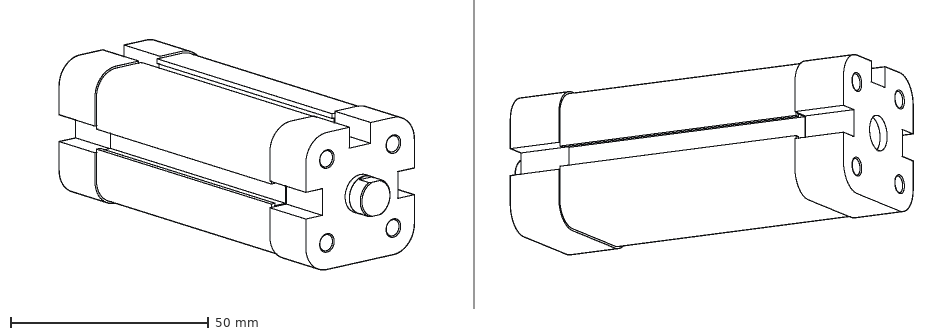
import cadquery as cq

total_length = 103.0
cap_length = 14.1
cap_end = 96.8
tube_start = cap_length
tube_end = cap_end - cap_length

cap_width = 36.0
tube_width = 35.0
hole_offset = 11.0
cap_corner_radius = cap_width / 2 - hole_offset
tube_corner_radius = tube_width / 2 - hole_offset

hole_diameter = 4.2
hole_chamfer = 0.3

cap_slot_width = 7.0
cap_slot_floor = 12.6
tube_slot_width = 6.5
tube_slot_floor = 12.9
slot_mouth_width = 5.3
lip_thickness = 1.2
slot_angles = (-90, 0, 90)

recess_diameter = 9.1
recess_depth = 2.1

rod_diameter = 10.0
rod_chamfer = 0.3
collar_end = 98.5
rod_tip_diameter = 9.9
flat_distance = 9.0
flat_start = 99.1


def bar(start, end, width, corner_radius):
    """Rounded square bar along X."""
    return (
        cq.Workplane("YZ", origin=(start, 0, 0))
        .rect(width, width)
        .extrude(end - start)
        .edges("|X")
        .fillet(corner_radius)
    )


def rod_section(start, end, diameter):
    """Cylinder on the X axis."""
    return cq.Workplane("YZ", origin=(start, 0, 0)).circle(diameter / 2).extrude(end - start)


def slot_box(start, end, width, floor, top):
    """Box that clears a slot on the top side."""
    return (
        cq.Workplane("XY", origin=(start, 0, floor))
        .box(end - start, width, top - floor, centered=(False, True, False))
    )


def cut_slots(body, cutter):
    """Repeat a top-side slot cutter on the three slotted sides."""
    for angle in slot_angles:
        body = body.cut(cutter.rotate((0, 0, 0), (1, 0, 0), angle))
    return body


def cut_bolt_holes(body, start, end):
    """Four through holes on the corner centres."""
    holes = (
        cq.Workplane("YZ", origin=(start, 0, 0))
        .rect(2 * hole_offset, 2 * hole_offset, forConstruction=True)
        .vertices()
        .circle(hole_diameter / 2)
        .extrude(end - start)
    )
    return body.cut(holes)


def make_cap(start, outer_face):
    """End cap with slots and bolt holes chamfered at the outer face."""
    end = start + cap_length
    cap = bar(start, end, cap_width, cap_corner_radius)
    cap = cut_slots(cap, slot_box(start, end, cap_slot_width, cap_slot_floor, cap_width / 2))
    cap = cut_bolt_holes(cap, start, end)
    hole_rims = cap.faces(outer_face).edges("%CIRCLE").edges(cq.selectors.RadiusNthSelector(0))
    return hole_rims.chamfer(hole_chamfer)


def make_rear_cap():
    """Cap at the X origin with a blind centring recess."""
    return make_cap(0, "<X").cut(rod_section(0, recess_depth, recess_diameter))


def make_front_cap():
    """Cap bored through for the piston rod."""
    return make_cap(tube_end, ">X").cut(rod_section(tube_end, cap_end, rod_diameter))


def make_tube():
    """Extruded profile with undercut sensor slots."""
    half_width = tube_width / 2
    tube = bar(tube_start, tube_end, tube_width, tube_corner_radius)
    channel = slot_box(
        tube_start, tube_end, tube_slot_width, tube_slot_floor, half_width - lip_thickness
    )
    mouth = slot_box(tube_start, tube_end, slot_mouth_width, tube_slot_floor, half_width)
    tube = cut_slots(tube, channel.union(mouth))
    return cut_bolt_holes(tube, tube_start, tube_end)


def make_rod():
    """Rod carried in the front cap, with flats that run out at 45 degrees."""
    rod = rod_section(tube_end, collar_end, rod_diameter)
    tip = rod_section(collar_end, total_length, rod_tip_diameter)
    rod = rod.union(tip.faces(">X").chamfer(rod_chamfer))
    flat_height = flat_distance / 2
    run_out = rod_diameter - flat_height
    flat = (
        cq.Workplane("XZ")
        .moveTo(flat_start, flat_height)
        .lineTo(total_length, flat_height)
        .lineTo(total_length, rod_diameter)
        .lineTo(flat_start - run_out, rod_diameter)
        .close()
        .extrude(rod_diameter / 2, both=True)
    )
    return rod.cut(flat).cut(flat.mirror("XY"))


rear_cap = make_rear_cap()
tube = make_tube()
front_cap = make_front_cap()
rod = make_rod()

result = cq.Compound.makeCompound([rear_cap.val(), tube.val(), front_cap.val(), rod.val()])